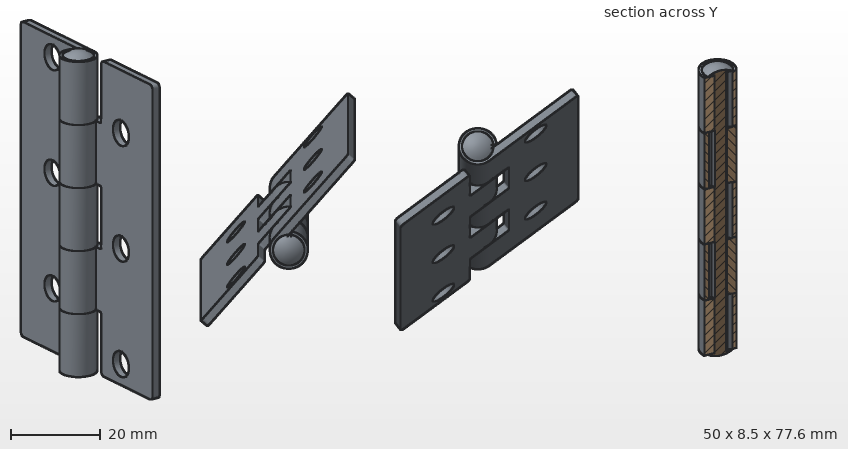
import cadquery as cq
import math

open_width = 50.0
knuckle_count = 5
knuckle_length = 15.0
knuckle_diameter = 8.5
sheet_thickness = 2.0
curl_gap = 0.02
knuckle_clearance = 1.25
outer_corner_radius = 1.0
notch_corner_radius = 0.5
screw_hole_diameter = 6.0
screw_hole_offset = 13.0
screw_hole_pitch = 27.5
screw_hole_shift = 5.0
head_diameter = 7.0
head_height = 1.3

half_width = open_width / 2
hinge_height = knuckle_count * knuckle_length
half_height = hinge_height / 2
knuckle_radius = knuckle_diameter / 2
bore_radius = knuckle_radius - sheet_thickness
notch_edge = knuckle_radius + knuckle_clearance
back_face = knuckle_radius
front_face = back_face - sheet_thickness
head_radius = head_diameter / 2


def plain_left_leaf():
    """Flat sheet on the -X side, rolled into a tube about the hinge axis along its full height."""
    outer_end_y = front_face - curl_gap
    outer_end_x = -math.sqrt(knuckle_radius**2 - outer_end_y**2)
    inner_end_x = outer_end_x * bore_radius / knuckle_radius
    inner_end_y = outer_end_y * bore_radius / knuckle_radius
    return (
        cq.Workplane("XY", origin=(0, 0, -half_height))
        .moveTo(-half_width, back_face)
        .lineTo(0, back_face)
        .threePointArc((0, -knuckle_radius), (outer_end_x, outer_end_y))
        .lineTo(inner_end_x, inner_end_y)
        .threePointArc((0, -bore_radius), (0, front_face))
        .lineTo(-half_width, front_face)
        .close()
        .extrude(hinge_height)
    )


def notch(index):
    """Cutter that removes one knuckle, with rounded corners where it ends inside the leaf."""
    cutter = (
        cq.Workplane("XY", origin=(-notch_edge, 0, index * knuckle_length - half_height))
        .box(
            notch_edge + knuckle_diameter,
            2 * knuckle_diameter,
            knuckle_length,
            centered=(False, True, False),
        )
    )
    if index > 0:
        cutter = cutter.edges("|Y and <X and <Z").fillet(notch_corner_radius)
    if index < knuckle_count - 1:
        cutter = cutter.edges("|Y and <X and >Z").fillet(notch_corner_radius)
    return cutter


def leaf(first_removed_knuckle, middle_hole_height):
    """Left leaf without every second knuckle, with its three screw holes."""
    body = plain_left_leaf()
    for index in range(first_removed_knuckle, knuckle_count, 2):
        body = body.cut(notch(index))
    body = body.edges("|Y and (<Z or >Z)").fillet(outer_corner_radius)
    hole_centres = [
        (-screw_hole_offset, middle_hole_height + step * screw_hole_pitch) for step in (-1, 0, 1)
    ]
    holes = (
        cq.Workplane("XZ", origin=(0, back_face, 0))
        .pushPoints(hole_centres)
        .circle(screw_hole_diameter / 2)
        .extrude(sheet_thickness)
    )
    return body.cut(holes)


def hinge_pin():
    """Shank that fills the bore, with a domed head on each end of the knuckles."""
    head_base = half_height
    head_top = half_height + head_height
    dome_radius = (head_radius**2 + head_height**2) / (2 * head_height)
    dome_centre = head_top - dome_radius
    half_angle = math.asin(head_radius / dome_radius) / 2
    dome_mid_x = dome_radius * math.sin(half_angle)
    dome_mid_z = dome_centre + dome_radius * math.cos(half_angle)
    return (
        cq.Workplane("XZ")
        .moveTo(0, -head_top)
        .threePointArc((dome_mid_x, -dome_mid_z), (head_radius, -head_base))
        .lineTo(bore_radius, -head_base)
        .lineTo(bore_radius, head_base)
        .lineTo(head_radius, head_base)
        .threePointArc((dome_mid_x, dome_mid_z), (0, head_top))
        .close()
        .revolve(360, (0, 0, 0), (0, 1, 0))
    )


left_leaf = leaf(first_removed_knuckle=1, middle_hole_height=screw_hole_shift)
right_leaf = leaf(first_removed_knuckle=0, middle_hole_height=-screw_hole_shift).mirror("YZ")
pin = hinge_pin()

result = cq.Compound.makeCompound([left_leaf.val(), right_leaf.val(), pin.val()])